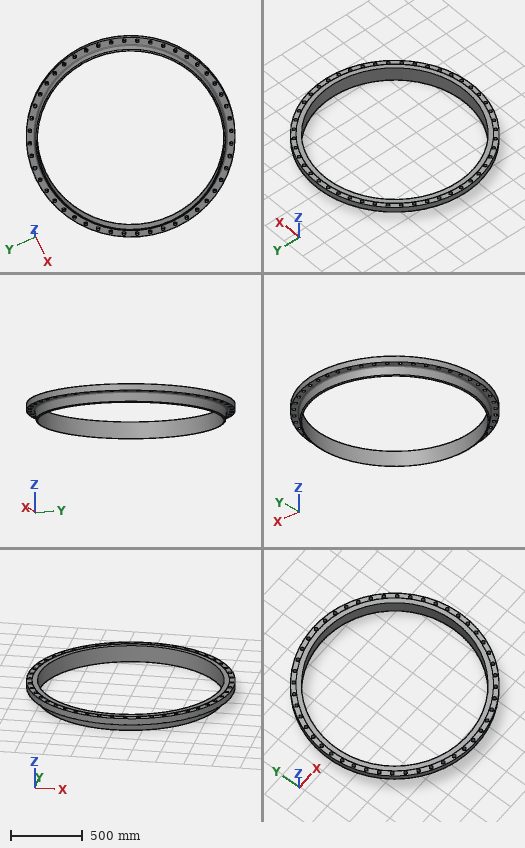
import cadquery as cq
import math

outer_radius = 1457.0 / 2
bore_radius = 1301.0 / 2
total_height = 121.0
flange_thickness = 50.0

face_radius = 1379.0 / 2
face_height = 3.0

hub_top_radius = 1344.0 / 2
hub_bottom_radius = 1323.0 / 2
bevel_width = 9.0
bevel_height = 6.0
hub_fillet = 6.0

bolt_count = 48
bolt_circle_radius = 1409.0 / 2
bolt_hole_diameter = 25.0

flange_top = total_height - face_height
flange_bottom = total_height - flange_thickness


def hub_fillet_points():
    """Start, middle and end of the arc tangent to the tapered hub and the flange underside."""
    taper = math.atan2(hub_top_radius - hub_bottom_radius, flange_bottom - bevel_height)
    setback = hub_fillet * math.tan(math.pi / 4 - taper / 2)
    start = (
        hub_top_radius - setback * math.sin(taper),
        flange_bottom - setback * math.cos(taper),
    )
    end = (hub_top_radius + setback, flange_bottom)
    center = (end[0], flange_bottom - hub_fillet)
    middle_angle = math.pi * 3 / 4 - taper / 2
    middle = (
        center[0] + hub_fillet * math.cos(middle_angle),
        center[1] + hub_fillet * math.sin(middle_angle),
    )
    return start, middle, end


def ring_body():
    """Revolve the half section, given as (radius, height), about the Z axis."""
    fillet_start, fillet_middle, fillet_end = hub_fillet_points()
    section = (
        cq.Workplane("XZ")
        .moveTo(bore_radius, 0)
        .lineTo(hub_bottom_radius - bevel_width, 0)
        .lineTo(hub_bottom_radius, bevel_height)
        .lineTo(*fillet_start)
        .threePointArc(fillet_middle, fillet_end)
        .lineTo(outer_radius, flange_bottom)
        .lineTo(outer_radius, flange_top)
        .lineTo(face_radius, flange_top)
        .lineTo(face_radius, total_height)
        .lineTo(bore_radius, total_height)
        .close()
    )
    return section.revolve(360, (0, 0, 0), (0, 1, 0))


def bolt_holes():
    """Through holes evenly spaced on the bolt circle, one of them on the +X axis."""
    return (
        cq.Workplane("XY")
        .polarArray(bolt_circle_radius, 0, 360, bolt_count)
        .circle(bolt_hole_diameter / 2)
        .extrude(total_height)
    )


result = ring_body().cut(bolt_holes())